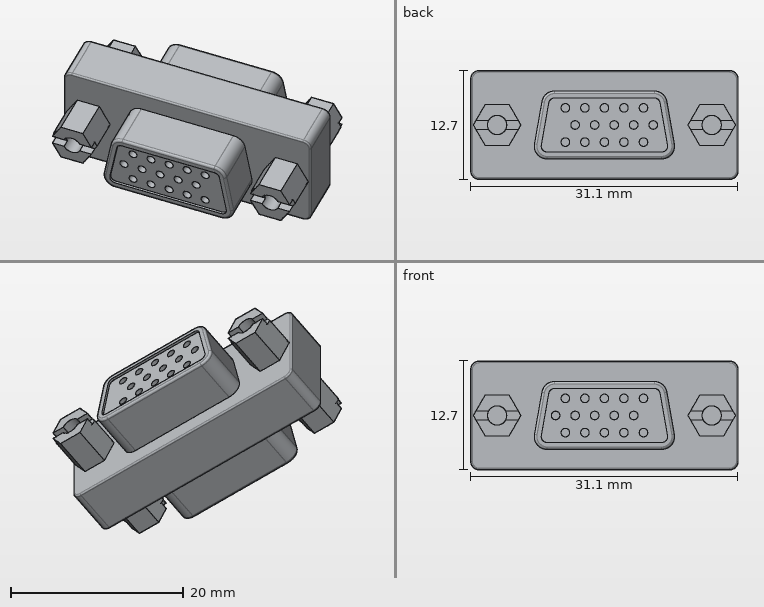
import cadquery as cq
import math

plate_length = 31.1
plate_height = 12.65
plate_thickness = 6.0
plate_corner_radius = 1.0
plate_edge_fillet = 0.2

body_depth = 17.6
body_height = 7.9
body_mid_half_width = 7.75
body_side_angle = 10.0
body_corner_radius = 1.5
body_edge_fillet = 0.3

rim_width = 0.8
recess_depth = 0.3

contact_diameter = 1.0
contact_pitch = 2.27
contact_row_spacing = 2.0
contacts_per_row = 5
contact_depth = 4.98

screw_offset = 12.48
screw_across_flats = 4.8
screw_span = 15.87
screw_hole_diameter = 2.25
screw_hole_depth = 3.98
screw_slot_width = 1.05
screw_slot_depth = 1.0

body_face = body_depth / 2
recess_floor = body_face - recess_depth
screw_face = screw_span / 2


def extrude_along_y(sketch, start, depth):
    """Extrude a sketch drawn on the XZ plane from Y = start towards +Y."""
    return sketch.extrude(-depth).translate((0, start, 0))


def both_faces(cutter):
    """Return a cutter together with its mirror image across the XZ plane."""
    return cutter.union(cutter.mirror("XZ"))


def d_prism(inset, depth, start):
    """D-shaped prism whose outline lies a given distance inside the body outline."""
    angle = math.radians(body_side_angle)
    half_height = body_height / 2 - inset
    mid_half_width = body_mid_half_width - inset / math.cos(angle)
    flare = half_height * math.tan(angle)
    top_half = mid_half_width - flare
    bottom_half = mid_half_width + flare
    corners = [
        (-bottom_half, -half_height),
        (bottom_half, -half_height),
        (top_half, half_height),
        (-top_half, half_height),
    ]
    prism = extrude_along_y(cq.Workplane("XZ").polyline(corners).close(), start, depth)
    return prism.edges("|Y").fillet(body_corner_radius - inset)


def make_plate():
    plate = cq.Workplane("XY").box(plate_length, plate_thickness, plate_height)
    plate = plate.edges("|Y").fillet(plate_corner_radius)
    return plate.faces("<Y or >Y").edges().fillet(plate_edge_fillet)


def make_body():
    body = d_prism(0, body_depth, -body_face)
    body = body.faces("<Y or >Y").edges().fillet(body_edge_fillet)
    return body.cut(both_faces(d_prism(rim_width, recess_depth, recess_floor)))


def contact_positions():
    """Hole centres; the middle row is shifted half a pitch towards -X."""
    first = -(contacts_per_row - 1) / 2 * contact_pitch
    points = []
    for row in (-1, 0, 1):
        shift = -contact_pitch / 2 if row == 0 else 0
        for column in range(contacts_per_row):
            points.append((first + column * contact_pitch + shift, row * contact_row_spacing))
    return points


def make_contact_holes():
    circles = cq.Workplane("XZ").pushPoints(contact_positions()).circle(contact_diameter / 2)
    return both_faces(extrude_along_y(circles, recess_floor - contact_depth, contact_depth))


def make_screw():
    """Double-ended hexagonal screw on the Y axis, drilled and slotted at both ends."""
    across_corners = screw_across_flats / math.cos(math.pi / 6)
    hexagon = cq.Workplane("XZ").polygon(6, across_corners)
    screw = extrude_along_y(hexagon, -screw_face, screw_span)
    circle = cq.Workplane("XZ").circle(screw_hole_diameter / 2)
    hole = extrude_along_y(circle, screw_face - screw_hole_depth, screw_hole_depth)
    bar = cq.Workplane("XZ").rect(across_corners, screw_slot_width)
    slot = extrude_along_y(bar, screw_face - screw_slot_depth, screw_slot_depth)
    return screw.cut(both_faces(hole.union(slot)))


result = make_plate().union(make_body()).cut(make_contact_holes())
for side in (-1, 1):
    result = result.union(make_screw().translate((side * screw_offset, 0, 0)))